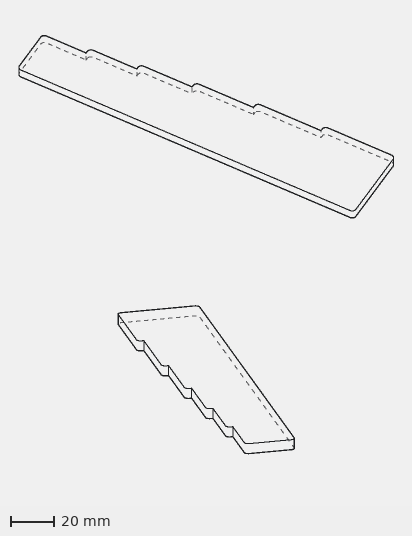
import cadquery as cq

length = 179.0
width = 39.0
thickness = 5.0

narrow_width = 24.0
step_ends = [23.1, 48.3, 76.0, 107.0, 141.2, length]
corner_radius = 2.0

step_rise = (width - narrow_width) / (len(step_ends) - 1)


def stepped_outline():
    """Plate outline with every outward corner rounded and the inner step corners sharp."""
    r = corner_radius
    outline = (
        cq.Workplane("XY")
        .moveTo(0, r)
        .radiusArc((r, 0), -r)
        .lineTo(length - r, 0)
        .radiusArc((length, r), -r)
        .lineTo(length, width - r)
        .radiusArc((length - r, width), -r)
    )

    step_starts = [0] + step_ends[:-1]
    for index in reversed(range(len(step_starts))):
        start = step_starts[index]
        top = narrow_width + index * step_rise
        outline = outline.lineTo(start + r, top).radiusArc((start, top - r), -r)
        if index > 0:
            outline = outline.lineTo(start, top - step_rise)
    return outline.close()


result = stepped_outline().extrude(thickness)